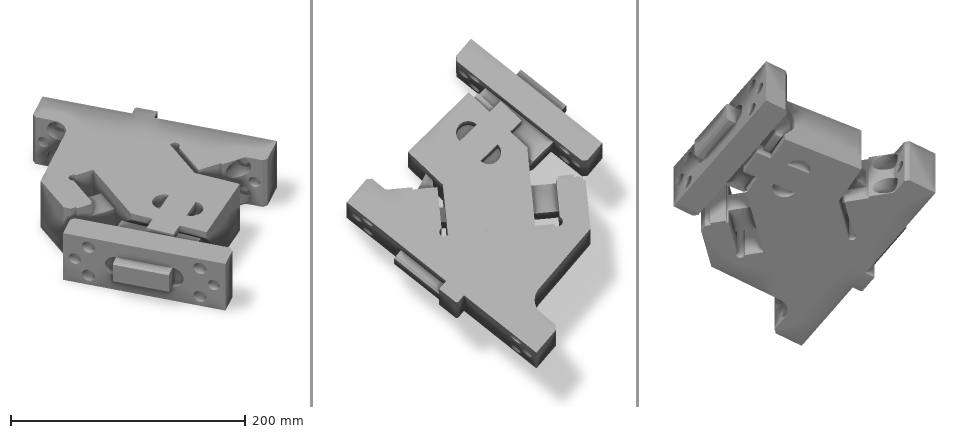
import cadquery as cq
import math

THICKNESS = 50.0
CORNER_BEVEL = 3.3
SCREW_OFFSET_Z = 15.0
DOWEL_DIAMETER = 10.8
KEY_HEIGHT = 19.8
KEY_BEVEL_LENGTH = 2.6
KEY_BEVEL_DEPTH = 1.0
GUIDE_HEIGHT = 19.8

FORK_LENGTH = 209.7
FLANGE_BACK = 188.5
FLANGE_FRONT = 158.8
SPINE_LEFT = 34.3
SPINE_FILLET = 15.0
SPINE_END = 74.4
ARM_ROOT_FILLET = 4.5
ARM_TIP_Y = 44.5
STOP_LEFT = 80.0
STOP_TOP = 197.8
STOP_BEVEL = 1.3
FORK_KEY_LEFT = 99.9
FORK_KEY_LENGTH = 49.7
FORK_SCREW_INSET = 22.9
FORK_DOWEL_INSET = 10.5
FORK_SCREW_DIAMETER = 11.2
COUNTERBORE_DIAMETER = 18.5
COUNTERBORE_DEPTH = 11.0

SLOT_CORNER_X = 57.0
SLOT_CORNER_Y = 87.1
SLOT_WIDTH = 101.5
LEFT_ARM_OUT = 39.8
LIP_OUT = 42.0
RIGHT_ARM_OUT = 44.0
LEFT_LIP_START = -15.6
LEFT_LIP_END = -1.8
RIGHT_LIP_END = 122.8
RELIEF_RADIUS = 4.2
RELIEF_OFFSET = 2.0
GUIDE_START = 15.0
RIGHT_GUIDE_END = 28.0

HEAD_TILT = 5.0
BLOCK_WIDTH = 74.8
LEFT_GAP = 21.8
HEAD_FRONT = 18.0
HEAD_BACK = 92.0
TAB_WIDTH = 24.9
TAB_FRONT = 4.5
HEEL_START = 104.5
HEEL_END = 120.3
HEEL_FOOT_SIDE = 16.0
POCKET_RADIUS = 10.3
POCKET_CENTRE = 44.0
POCKET_DEPTH = 12.5

PLATE_LEFT = 74.8
PLATE_LENGTH = 145.2
PLATE_FRONT = 9.5
PLATE_BACK = 32.5
PLATE_SCREW_SPACING = 99.7
PLATE_DOWEL_SPACING = 124.3
PLATE_SCREW_DIAMETER = 11.7
PLATE_KEY_LENGTH = 50.2
KEYWAY_LENGTH = 70.2
KEYWAY_DEPTH = 4.5
TONGUE_SHIFT = -5.0
TONGUE_HEIGHT = 24.9
HOOK_FRONT = 11.5
HOOK_SHOULDER = 17.2
HOOK_END = 26.2
HOOK_HEIGHT = 35.2
HOOK_TIP_HEIGHT = 11.0
HOOK_CLEARANCE = 0.9

PLATE_CENTRE = PLATE_LEFT + PLATE_LENGTH / 2
HEAD_ORIGIN_X = PLATE_CENTRE - TONGUE_SHIFT
HEAD_ORIGIN_Y = PLATE_BACK
SHANK_LEFT = LEFT_GAP
SHANK_RIGHT = LEFT_GAP + BLOCK_WIDTH
TILT = math.radians(HEAD_TILT)
DIAGONAL = math.sqrt(0.5)


def slot_point(across, out):
    """Point in XY given in the 45 degree frame of the fork slot."""
    x = SLOT_CORNER_X + (across + out) * DIAGONAL
    y = SLOT_CORNER_Y + (across - out) * DIAGONAL
    return (x, y)


def head_point(side, back):
    """Point in XY given in the tilted frame of the block head."""
    x = HEAD_ORIGIN_X + side * math.cos(TILT) + back * math.sin(TILT)
    y = HEAD_ORIGIN_Y - side * math.sin(TILT) + back * math.cos(TILT)
    return (x, y)


def shank_meets_head(across, back):
    """Corner where a shank side reaches a front or back line of the head."""
    wall_sum = sum(slot_point(across, 0))
    base_sum = sum(head_point(0, back))
    side = (wall_sum - base_sum) / (math.cos(TILT) - math.sin(TILT))
    return head_point(side, back)


def slab(points, height):
    """Outline extruded evenly above and below mid-height."""
    return cq.Workplane("XY").polyline(points).close().extrude(height / 2, both=True)


def holes_along_y(spots, diameter, y_start, depth):
    """Cylinders that run from y_start toward +Y."""
    plane = cq.Workplane("XZ", origin=(0, y_start, 0))
    return plane.pushPoints(spots).circle(diameter / 2).extrude(-depth)


def key_bar(x_left, length, y_root, y_tip):
    """Rectangular key whose long tip edges are bevelled."""
    shoulder = y_tip - math.copysign(KEY_BEVEL_LENGTH, y_tip - y_root)
    half = KEY_HEIGHT / 2
    tip_half = half - KEY_BEVEL_DEPTH
    profile = [
        (y_root, -half), (shoulder, -half), (y_tip, -tip_half),
        (y_tip, tip_half), (shoulder, half), (y_root, half),
    ]
    return cq.Workplane("YZ", origin=(x_left, 0, 0)).polyline(profile).close().extrude(length)


def make_fork():
    right_root_x = FLANGE_FRONT + SLOT_CORNER_X - SLOT_CORNER_Y + RIGHT_ARM_OUT / DIAGONAL
    arm_tip_x = ARM_TIP_Y + SLOT_CORNER_X - SLOT_CORNER_Y + LEFT_ARM_OUT / DIAGONAL
    arm_outer_x = SPINE_LEFT + SPINE_END - ARM_TIP_Y
    outline = [
        (0, FLANGE_BACK),
        (STOP_LEFT, FLANGE_BACK),
        (STOP_LEFT, STOP_TOP - STOP_BEVEL),
        (STOP_LEFT + STOP_BEVEL, STOP_TOP),
        (FORK_KEY_LEFT, STOP_TOP),
        (FORK_KEY_LEFT, FLANGE_BACK),
        (FORK_LENGTH, FLANGE_BACK),
        (FORK_LENGTH, FLANGE_FRONT + CORNER_BEVEL),
        (FORK_LENGTH - CORNER_BEVEL, FLANGE_FRONT),
        (right_root_x, FLANGE_FRONT),
        slot_point(RIGHT_LIP_END, RIGHT_ARM_OUT),
        slot_point(RIGHT_LIP_END, LIP_OUT),
        slot_point(SLOT_WIDTH, LIP_OUT),
        slot_point(SLOT_WIDTH, 0),
        slot_point(0, 0),
        slot_point(0, LEFT_ARM_OUT),
        slot_point(LEFT_LIP_END, LEFT_ARM_OUT),
        slot_point(LEFT_LIP_END, LIP_OUT),
        slot_point(LEFT_LIP_START, LIP_OUT),
        slot_point(LEFT_LIP_START, LEFT_ARM_OUT),
        (arm_tip_x, ARM_TIP_Y),
        (arm_outer_x, ARM_TIP_Y),
        (SPINE_LEFT, SPINE_END),
    ]
    fillet_mid = SPINE_FILLET * (1 - DIAGONAL)
    fork = (
        cq.Workplane("XY").polyline(outline)
        .lineTo(SPINE_LEFT, FLANGE_FRONT - SPINE_FILLET)
        .threePointArc(
            (SPINE_LEFT - fillet_mid, FLANGE_FRONT - fillet_mid),
            (SPINE_LEFT - SPINE_FILLET, FLANGE_FRONT),
        )
        .lineTo(CORNER_BEVEL, FLANGE_FRONT)
        .lineTo(0, FLANGE_FRONT + CORNER_BEVEL)
        .close().extrude(THICKNESS / 2, both=True)
    )

    reliefs = [
        slot_point(RELIEF_OFFSET, RELIEF_OFFSET),
        slot_point(SLOT_WIDTH - RELIEF_OFFSET, RELIEF_OFFSET),
    ]
    fork = fork.cut(
        cq.Workplane("XY").pushPoints(reliefs).circle(RELIEF_RADIUS).extrude(THICKNESS, both=True)
    )

    arm_root = cq.selectors.NearestToPointSelector((right_root_x, FLANGE_FRONT, 0))
    fork = fork.edges("|Z").edges(arm_root).fillet(ARM_ROOT_FILLET)

    pad = [
        slot_point(0, GUIDE_START), slot_point(SHANK_LEFT, GUIDE_START),
        slot_point(SHANK_LEFT, LEFT_ARM_OUT), slot_point(0, LEFT_ARM_OUT),
    ]
    fork = fork.union(slab(pad, GUIDE_HEIGHT))
    fork = fork.union(key_bar(FORK_KEY_LEFT, FORK_KEY_LENGTH, FLANGE_BACK, STOP_TOP))

    depth = FLANGE_BACK - FLANGE_FRONT
    screw_x = (FORK_SCREW_INSET, FORK_LENGTH - FORK_SCREW_INSET)
    screws = [(x, z) for x in screw_x for z in (-SCREW_OFFSET_Z, SCREW_OFFSET_Z)]
    dowels = [(x, 0) for x in (FORK_DOWEL_INSET, FORK_LENGTH - FORK_DOWEL_INSET)]
    seat_start = FLANGE_FRONT - SPINE_FILLET
    fork = fork.cut(holes_along_y(screws, FORK_SCREW_DIAMETER, FLANGE_FRONT, depth))
    fork = fork.cut(
        holes_along_y(screws, COUNTERBORE_DIAMETER, seat_start, SPINE_FILLET + COUNTERBORE_DEPTH)
    )
    return fork.cut(holes_along_y(dowels, DOWEL_DIAMETER, FLANGE_FRONT, depth))


def head_profile(points, side_start, side_end):
    """Half profile of (back, half height) mirrored in Z and swept sideways across the head."""
    mirrored = [(back, -half) for back, half in reversed(points)]
    plane = cq.Plane(
        origin=(*head_point(side_start, 0), 0),
        xDir=(math.sin(TILT), math.cos(TILT), 0),
        normal=(math.cos(TILT), -math.sin(TILT), 0),
    )
    return cq.Workplane(plane).polyline(points + mirrored).close().extrude(side_end - side_start)


def hook_points(front, clearance):
    """Half profile of the hooked tongue from its front end, grown by a clearance."""
    neck = TONGUE_HEIGHT / 2 + clearance
    hook = HOOK_HEIGHT / 2 + clearance
    return [
        (front, neck),
        (HOOK_FRONT - clearance, neck),
        (HOOK_FRONT - clearance, hook),
        (HOOK_SHOULDER + clearance, hook),
        (HOOK_END + clearance, HOOK_TIP_HEIGHT / 2 + clearance),
    ]


def make_block():
    half = BLOCK_WIDTH / 2
    tab_half = TAB_WIDTH / 2
    outline = [
        slot_point(SHANK_LEFT, 0),
        slot_point(SHANK_RIGHT, 0),
        shank_meets_head(SHANK_RIGHT, HEAD_BACK),
        head_point(half, HEAD_BACK),
        head_point(half, HEAD_FRONT),
        head_point(tab_half, HEAD_FRONT),
        head_point(tab_half, TAB_FRONT),
        head_point(-tab_half, TAB_FRONT),
        head_point(-tab_half, HEAD_FRONT),
        shank_meets_head(SHANK_LEFT, HEAD_FRONT),
    ]
    block = slab(outline, THICKNESS)

    pad = [
        slot_point(SHANK_RIGHT, GUIDE_START), slot_point(SLOT_WIDTH, GUIDE_START),
        slot_point(SLOT_WIDTH, RIGHT_GUIDE_END), slot_point(SHANK_RIGHT, RIGHT_GUIDE_END),
    ]
    block = block.union(slab(pad, GUIDE_HEIGHT))

    heel = [
        slot_point(HEEL_START, LIP_OUT), slot_point(HEEL_END, LIP_OUT),
        head_point(HEEL_FOOT_SIDE, HEAD_BACK), head_point(tab_half, HEAD_BACK - tab_half),
        shank_meets_head(HEEL_START, HEAD_BACK),
    ]
    block = block.union(slab(heel, GUIDE_HEIGHT))

    block = block.cut(head_profile(hook_points(0, HOOK_CLEARANCE), -BLOCK_WIDTH, BLOCK_WIDTH))

    for direction in (-1, 1):
        flat = direction * tab_half
        pocket = (
            cq.Workplane("XY", origin=(0, 0, THICKNESS / 2 - POCKET_DEPTH))
            .moveTo(*head_point(flat, POCKET_CENTRE - POCKET_RADIUS))
            .threePointArc(
                head_point(flat + direction * POCKET_RADIUS, POCKET_CENTRE),
                head_point(flat, POCKET_CENTRE + POCKET_RADIUS),
            )
            .close().extrude(POCKET_DEPTH)
        )
        block = block.cut(pocket).cut(pocket.mirror("XY"))
    return block


def make_plate():
    right = PLATE_LEFT + PLATE_LENGTH
    outline = [
        (PLATE_LEFT, PLATE_FRONT), (right, PLATE_FRONT),
        (right, PLATE_BACK - CORNER_BEVEL), (right - CORNER_BEVEL, PLATE_BACK),
        (PLATE_LEFT + CORNER_BEVEL, PLATE_BACK), (PLATE_LEFT, PLATE_BACK - CORNER_BEVEL),
    ]
    plate = slab(outline, THICKNESS)
    depth = PLATE_BACK - PLATE_FRONT

    left_end = TONGUE_SHIFT - BLOCK_WIDTH / 2
    right_end = TONGUE_SHIFT + BLOCK_WIDTH / 2
    neck = TONGUE_HEIGHT / 2
    taper = (HOOK_END - HOOK_SHOULDER) / (HOOK_HEIGHT - HOOK_TIP_HEIGHT)
    plain_end = HOOK_SHOULDER + taper * (HOOK_HEIGHT - TONGUE_HEIGHT)
    root = -depth / 2
    plain = [(root, neck), (plain_end, neck), (HOOK_END, HOOK_TIP_HEIGHT / 2)]
    plate = plate.union(head_profile(plain, left_end, right_end))
    plate = plate.union(head_profile(hook_points(root, 0), -TAB_WIDTH / 2, right_end))

    screws = [
        (PLATE_CENTRE + side * PLATE_SCREW_SPACING / 2, level * SCREW_OFFSET_Z)
        for side in (-1, 1) for level in (-1, 1)
    ]
    dowels = [(PLATE_CENTRE + side * PLATE_DOWEL_SPACING / 2, 0) for side in (-1, 1)]
    plate = plate.cut(holes_along_y(screws, PLATE_SCREW_DIAMETER, PLATE_FRONT, depth))
    plate = plate.cut(holes_along_y(dowels, DOWEL_DIAMETER, PLATE_FRONT, depth))

    keyway = (
        cq.Workplane("XZ", origin=(PLATE_CENTRE, PLATE_FRONT, 0))
        .slot2D(KEYWAY_LENGTH, KEY_HEIGHT).extrude(-KEYWAY_DEPTH)
    )
    key_left = PLATE_CENTRE - PLATE_KEY_LENGTH / 2
    key = key_bar(key_left, PLATE_KEY_LENGTH, PLATE_FRONT + KEYWAY_DEPTH, 0)
    return plate.cut(keyway).union(key)


fork = make_fork()
block = make_block()
plate = make_plate()

result = cq.Compound.makeCompound([fork.solids().val(), block.solids().val(), plate.solids().val()])